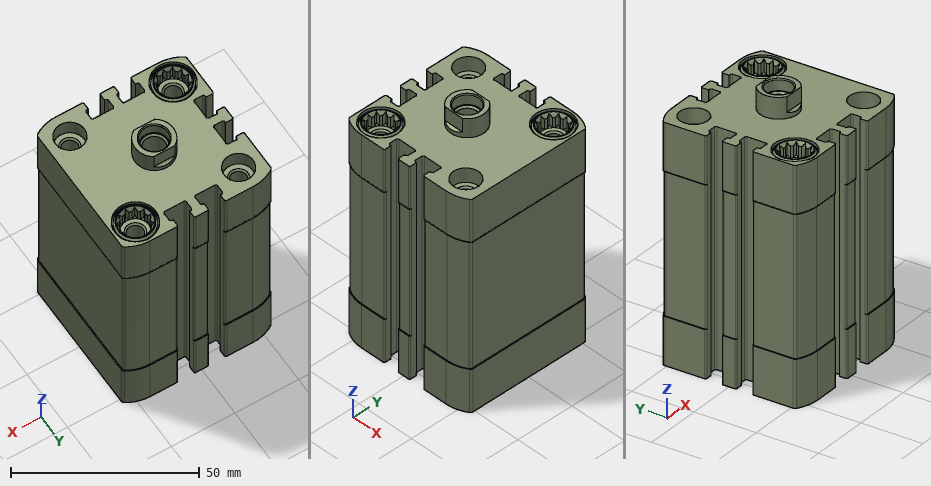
import cadquery as cq
import math

total_height = 80.6
rod_reach = 6.6
housing_height = total_height - rod_reach
housing_width = 47.0
half_width = housing_width / 2
cap_height = 15.0
barrel_inset = 0.3

corner_arc_radius = 12.5
corner_arc_start = 16.2
corner_edge_fillet = 1.0

rib_half = 1.4
rib_tip_half = 2.25
mouth_outer = 7.4
pocket_outer = 8.4
lip_depth = 2.5
slot_depth = 5.9
slot_mouth_fillet = 0.5
pocket_fillet = 0.5
rib_tip_fillet = 0.4
slot_overshoot = 0.8

hole_spacing = 32.5
hole_offset = hole_spacing / 2
through_diameter = 4.9
lead_in_diameter = 6.0
counterbore_diameter = 9.0
counterbore_depth = 5.0

head_gap_diameter = 12.8
head_gap_depth = 1.0
head_diameter = 11.9
head_chamfer = 0.6
socket_mouth_diameter = 10.2
socket_cone_depth = 1.3
socket_diameter = 8.55
socket_point_diameter = 9.8
socket_depth = 4.8
socket_square_count = 3
socket_square_turn = 90 / socket_square_count
first_square_turn = 45

rod_diameter = 12.0
rod_length = rod_reach + cap_height
flat_width = 10.0
flat_length = 4.75
flat_ramp_height = 0.6
bore_mouth_diameter = 9.0
bore_diameter = 8.4
bore_depth = 3.6
core_mouth_diameter = 7.7
core_diameter = 6.6
core_depth = 12.0
drill_half_angle = math.radians(59)


def rounded_block(inset, base, height):
    """Prism with large corner arcs, its four faces moved inward by `inset`."""
    side = half_width - inset
    radius = corner_arc_radius

    def arc_point(distance):
        """Point on the +X +Y corner arc at a distance past the arc start."""
        drop = radius - math.sqrt(radius**2 - distance**2)
        return corner_arc_start + distance, side - drop

    arc_reach = side - corner_arc_start
    mid_x, mid_y = arc_point(arc_reach / 2)
    end_x, end_y = arc_point(arc_reach)
    return (
        cq.Workplane("XY", origin=(0, 0, base))
        .moveTo(-corner_arc_start, side)
        .lineTo(corner_arc_start, side)
        .threePointArc((mid_x, mid_y), (end_x, end_y))
        .lineTo(end_x, -end_y)
        .threePointArc((mid_x, -mid_y), (corner_arc_start, -side))
        .lineTo(-corner_arc_start, -side)
        .threePointArc((-mid_x, -mid_y), (-end_x, -end_y))
        .lineTo(-end_x, end_y)
        .threePointArc((-mid_x, mid_y), (-corner_arc_start, side))
        .close()
        .extrude(height)
        .edges("|Z and (>X or <X)")
        .fillet(corner_edge_fillet)
    )


def t_slot(side):
    """One T-slot cutter in the -Y face; `side` is -1 or 1 across the rib."""
    face = -half_width

    def channel(inner, outer, start, end):
        """Full-height box between two distances from the rib and two depths from the face."""
        width = outer - inner
        length = end - start
        middle = (side * (inner + outer) / 2, face + (start + end) / 2)
        return cq.Workplane("XY").center(*middle).rect(width, length).extrude(housing_height)

    pocket = channel(rib_half, pocket_outer, lip_depth, slot_depth).edges("|Z").fillet(pocket_fillet)
    mouth = channel(rib_tip_half, mouth_outer, -slot_overshoot, slot_depth)
    return pocket.union(mouth)


def edge_rounding(side, distance, outward, radius, base, top, inset):
    """Sliver between a sharp slot edge on the -Y face and its rounding.

    `outward` is 1 where material lies away from the rib middle, -1 where it lies towards it.
    """
    face = -half_width + inset
    centre_x = distance + outward * radius
    centre_y = face + radius
    mid_x = centre_x - outward * radius * math.sqrt(0.5)
    mid_y = centre_y - radius * math.sqrt(0.5)
    return (
        cq.Workplane("XY", origin=(0, 0, base))
        .moveTo(side * distance, face)
        .lineTo(side * centre_x, face)
        .threePointArc((side * mid_x, mid_y), (side * distance, centre_y))
        .close()
        .extrude(top - base)
    )


def round_slot_edges(body, angle):
    """Round the slot edges on the face that lies at `angle` from the -Y face."""
    turned = body.rotate((0, 0, 0), (0, 0, 1), -angle)
    bands = (
        (0, cap_height, 0),
        (cap_height, housing_height - cap_height, barrel_inset),
        (housing_height - cap_height, housing_height, 0),
    )
    slot_edges = (
        (mouth_outer, 1, slot_mouth_fillet),
        (rib_tip_half, -1, rib_tip_fillet),
    )
    for distance, outward, radius in slot_edges:
        for base, top, inset in bands:
            for side in (-1, 1):
                turned = turned.cut(edge_rounding(side, distance, outward, radius, base, top, inset))
    return turned.rotate((0, 0, 0), (0, 0, 1), angle)


def revolved(profile):
    """Solid turned about the Z axis from (radius, height) points."""
    return cq.Workplane("XZ").polyline(profile).close().revolve(360, (0, 0), (0, 1))


def through_hole(seat_depth):
    """Through hole whose conical lead-in starts at a seat below the top face."""
    seat = housing_height - seat_depth
    bore = through_diameter / 2
    lead_in = lead_in_diameter / 2
    return revolved([(0, 0), (bore, 0), (bore, seat - (lead_in - bore)), (lead_in, seat), (0, seat)])


def counterbored_hole():
    """Cutter for a plain corner hole with a round counterbore."""
    counterbore = (
        cq.Workplane("XY", origin=(0, 0, housing_height - counterbore_depth))
        .circle(counterbore_diameter / 2)
        .extrude(counterbore_depth)
    )
    return through_hole(counterbore_depth).union(counterbore)


def head_gap():
    """Ring cutter that frees the chamfered rim of a screw head."""
    top = housing_height
    floor = top - head_gap_depth
    outer = head_gap_diameter / 2
    inner = head_diameter / 2
    return revolved([
        (inner, floor),
        (outer, floor),
        (outer, top),
        (inner - head_chamfer, top),
        (inner, top - head_chamfer),
    ])


def socket_hole():
    """Cutter for the twelve-point socket, with conical notch ends, and its through hole."""
    top = housing_height
    floor = top - socket_depth
    mouth = socket_mouth_diameter / 2
    bore = socket_diameter / 2
    cone_end = top - socket_cone_depth
    notch_run_out = floor + (mouth - bore)
    round_socket = revolved([(0, floor), (bore, floor), (bore, cone_end), (mouth, top), (0, top)])
    notch_limit = revolved([(0, floor), (bore, floor), (mouth, notch_run_out), (mouth, top), (0, top)])
    cutter = through_hole(socket_depth).union(round_socket)
    square_side = socket_point_diameter / math.sqrt(2)
    for index in range(socket_square_count):
        square = (
            cq.Workplane("XY", origin=(0, 0, floor))
            .rect(square_side, square_side)
            .extrude(socket_depth)
            .rotate((0, 0, 0), (0, 0, 1), first_square_turn + index * socket_square_turn)
        )
        cutter = cutter.union(square.intersect(notch_limit))
    return cutter


def make_housing():
    """Stepped block with T-slots on three faces, corner holes and a rod recess."""
    top_cap_base = housing_height - cap_height
    body = rounded_block(0, 0, cap_height)
    body = body.union(rounded_block(barrel_inset, cap_height, top_cap_base - cap_height))
    body = body.union(rounded_block(0, top_cap_base, cap_height))

    for angle in (-90, 0, 180):
        for side in (-1, 1):
            body = body.cut(t_slot(side).rotate((0, 0, 0), (0, 0, 1), angle))
        body = round_slot_edges(body, angle)

    for side in (-1, 1):
        plain_place = (side * hole_offset, -side * hole_offset, 0)
        screw_place = (side * hole_offset, side * hole_offset, 0)
        body = body.cut(counterbored_hole().translate(plain_place))
        body = body.cut(head_gap().translate(screw_place))
        body = body.cut(socket_hole().translate(screw_place))

    rod_recess = cq.Workplane("XY", origin=(0, 0, top_cap_base)).circle(rod_diameter / 2).extrude(cap_height)
    return body.cut(rod_recess)


def wrench_flat(side):
    """Cutter for one wrench flat that runs out in a short ramp; `side` is -1 or 1."""
    flat = side * flat_width / 2
    rim = side * rod_diameter / 2
    flat_end = total_height - flat_length
    return (
        cq.Workplane("YZ")
        .polyline([
            (flat, total_height),
            (flat, flat_end),
            (rim, flat_end - flat_ramp_height),
            (rim, total_height),
        ])
        .close()
        .extrude(rod_diameter / 2, both=True)
    )


def rod_bore():
    """Cutter for the stepped blind bore with a drill-point end."""
    mouth = bore_mouth_diameter / 2
    bore = bore_diameter / 2
    core_mouth = core_mouth_diameter / 2
    core = core_diameter / 2
    bore_end = total_height - bore_depth
    core_end = total_height - core_depth
    return revolved([
        (0, total_height),
        (mouth, total_height),
        (bore, total_height - (mouth - bore)),
        (bore, bore_end),
        (core_mouth, bore_end),
        (core, bore_end - (core_mouth - core)),
        (core, core_end),
        (0, core_end - core / math.tan(drill_half_angle)),
    ])


def make_piston_rod():
    """Round rod seated in the top cap, with two wrench flats and a blind bore."""
    rod_base = total_height - rod_length
    rod = cq.Workplane("XY", origin=(0, 0, rod_base)).circle(rod_diameter / 2).extrude(rod_length)
    for side in (-1, 1):
        rod = rod.cut(wrench_flat(side))
    return rod.cut(rod_bore())


housing = make_housing()
piston_rod = make_piston_rod()
result = cq.Compound.makeCompound([housing.val(), piston_rod.val()])